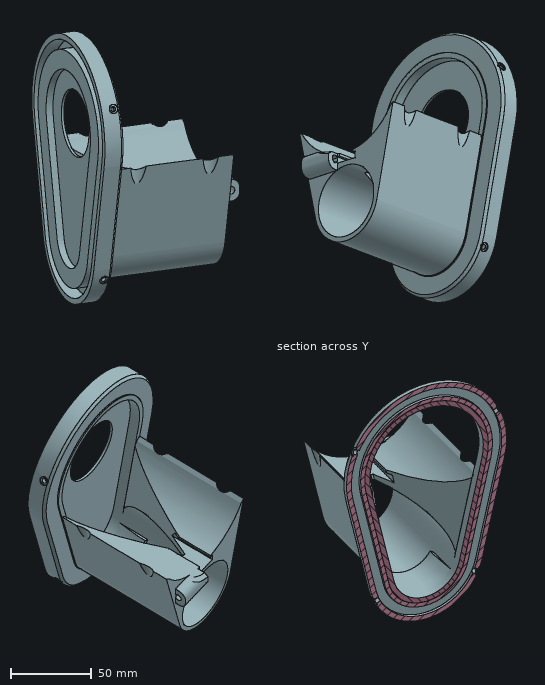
import cadquery as cq
import math


UPPER_RADIUS = 57.1
LOWER_RADIUS = 40.5
TOTAL_HEIGHT = 173.7
CENTRE_DISTANCE = TOTAL_HEIGHT - UPPER_RADIUS - LOWER_RADIUS
LOWER_Z = -CENTRE_DISTANCE
FLANK_ANGLE = math.asin((UPPER_RADIUS - LOWER_RADIUS) / CENTRE_DISTANCE)
FLANK_SLOPE = math.tan(FLANK_ANGLE)

FLANGE_THICKNESS = 13.0
FLANGE_CHAMFER = 1.7
GROOVE_OUTER_INSET = 3.8
GROOVE_INNER_INSET = 10.0
GROOVE_DEPTH = 10.0
OPENING_INSET = 22.5
SEAT_DEPTH = 4.7

SCREW_DIAMETER = 3.1
SCREW_HEAD_DIAMETER = 5.7
SCREW_HEAD_DEPTH = 0.9
SCREW_Y = 8.3
UPPER_SCREW_ANGLE = 25.0
LOWER_SCREW_ANGLE = -24.0

SCOOP_INSET = 13.7
BASE_INSET = 13.4
BASE_FLOOR_BACK = 6.6
SCOOP_BASE_BACK = 13.9
SCOOP_BACK = 95.4
SCOOP_RIM_Z = -20.3
SCOOP_RIM_X = (UPPER_RADIUS - SCOOP_INSET) / math.cos(FLANK_ANGLE) + SCOOP_RIM_Z * FLANK_SLOPE
PIPE_HOLE_DIAMETER = 43.0
TROUGH_RADIUS = 43.6
RIM_BEVEL_WIDTH = 2.8
RIM_BEVEL_DROP = 2.5

LUG_LEFT = 7.5
LUG_RIGHT = 30.7
LUG_BACK = 103.3
LUG_CENTRE_Z = -46.9
LUG_HEIGHT = 14.2
LUG_ROUNDING = 5.5
LUG_HOLE_DIAMETER = 4.9
LUG_HOLE_INSET = 5.9
LUG_CHAMFER = 2.0

SLOT_MOUTH_WIDTH = 11.1
SLOT_WIDTH = 2 * LUG_LEFT
SLOT_LIP_Z = -45.0
SLOT_FLOOR_Z = -49.3

BORE_DIAMETER = 47.0
BORE_RADIUS = BORE_DIAMETER / 2
LINER_RADIUS = 20.5
LINER_BACK = 35.5
LINER_RAMP_BACK = 30.5
LINER_END_ANGLE = 32.0

MOUTH_HALF_WIDTH = 24.0
MOUTH_TAPER = 0.45
MOUTH_TIP_WIDTH = 1.4

NOTCH_RADIUS = 6.8
NOTCH_DEPTH = 2.6
NOTCH_YS = (30.4, 79.5)


def teardrop(inset, front, back):
    """Teardrop prism between two Y positions, its outline moved inward by the inset."""
    upper = UPPER_RADIUS - inset
    lower = LOWER_RADIUS - inset
    across = math.cos(FLANK_ANGLE)
    along = math.sin(FLANK_ANGLE)
    outline = (
        cq.Workplane("XZ", origin=(0, front, 0))
        .moveTo(-upper * across, -upper * along)
        .threePointArc((0, upper), (upper * across, -upper * along))
        .lineTo(lower * across, LOWER_Z - lower * along)
        .threePointArc((0, LOWER_Z - lower), (-lower * across, LOWER_Z - lower * along))
        .close()
    )
    return outline.extrude(front - back)


def y_cylinder(radius, z, front, back):
    """Cylinder along Y, centred on X = 0."""
    return cq.Workplane("XZ", origin=(0, front, z)).circle(radius).extrude(front - back)


def radial_cylinder(diameter, centre_z, angle, start, end):
    """Cylinder in the screw plane that points away from a teardrop centre."""
    direction = cq.Vector(math.cos(math.radians(angle)), 0, math.sin(math.radians(angle)))
    base = cq.Vector(0, SCREW_Y, centre_z) + direction * start
    return cq.Workplane(cq.Solid.makeCylinder(diameter / 2, end - start, base, direction))


def screw_hole(centre_z, rim_radius, angle):
    """Counterbored hole through the flange rim into the groove."""
    hole = radial_cylinder(SCREW_DIAMETER, centre_z, angle, rim_radius - GROOVE_INNER_INSET, rim_radius)
    head = radial_cylinder(
        SCREW_HEAD_DIAMETER, centre_z, angle, rim_radius - SCREW_HEAD_DEPTH, rim_radius + SCREW_HEAD_DEPTH
    )
    return hole.union(head)


def make_flange():
    """Teardrop ring with a front groove and a rear seat for the scoop."""
    flange = teardrop(0, 0, FLANGE_THICKNESS).faces(">Y").chamfer(FLANGE_CHAMFER)
    groove = teardrop(GROOVE_OUTER_INSET, 0, GROOVE_DEPTH).cut(teardrop(GROOVE_INNER_INSET, 0, GROOVE_DEPTH))
    flange = flange.cut(groove)
    flange = flange.cut(teardrop(OPENING_INSET, 0, FLANGE_THICKNESS))
    flange = flange.cut(teardrop(BASE_INSET, SEAT_DEPTH, FLANGE_THICKNESS))
    for angle in (UPPER_SCREW_ANGLE, 180 - UPPER_SCREW_ANGLE):
        flange = flange.cut(screw_hole(0, UPPER_RADIUS, angle))
    for angle in (LOWER_SCREW_ANGLE, 180 - LOWER_SCREW_ANGLE):
        flange = flange.cut(screw_hole(LOWER_Z, LOWER_RADIUS, angle))
    return flange


def make_slot():
    """T-slot along the floor of the trough, open at the back."""

    def channel(width, bottom, top):
        return (
            cq.Workplane("XY", origin=(0, (SCOOP_BASE_BACK + SCOOP_BACK) / 2, bottom))
            .rect(width, SCOOP_BACK - SCOOP_BASE_BACK)
            .extrude(top - bottom)
        )

    wide = channel(SLOT_WIDTH, SLOT_FLOOR_Z, SLOT_LIP_Z)
    return wide.union(channel(SLOT_MOUTH_WIDTH, SLOT_FLOOR_Z, SCOOP_RIM_Z))


def make_rim_bevels():
    """Wedge whose two lower flanks bevel the inner edges of the scoop walls."""
    bevel_x = SCOOP_RIM_X - RIM_BEVEL_WIDTH
    bevel_z = SCOOP_RIM_Z - RIM_BEVEL_DROP
    return (
        cq.Workplane("XZ", origin=(0, SCOOP_BASE_BACK, 0))
        .polyline(
            [(-SCOOP_RIM_X, SCOOP_RIM_Z), (-bevel_x, bevel_z), (bevel_x, bevel_z), (SCOOP_RIM_X, SCOOP_RIM_Z)]
        )
        .close()
        .extrude(SCOOP_BASE_BACK - SCOOP_BACK)
    )


def make_mouth():
    """Wedge with its wide side on the base plate; it grows with height as the flanks do."""

    def section(half_width):
        tip_y = SCOOP_BASE_BACK + (half_width - MOUTH_TIP_WIDTH / 2) / MOUTH_TAPER
        return [
            (-half_width, SCOOP_BASE_BACK),
            (half_width, SCOOP_BASE_BACK),
            (MOUTH_TIP_WIDTH / 2, tip_y),
            (-MOUTH_TIP_WIDTH / 2, tip_y),
        ]

    return (
        cq.Workplane("XY", origin=(0, 0, LOWER_Z))
        .polyline(section(MOUTH_HALF_WIDTH))
        .close()
        .workplane(offset=CENTRE_DISTANCE)
        .polyline(section(MOUTH_HALF_WIDTH + CENTRE_DISTANCE * FLANK_SLOPE))
        .close()
        .loft(ruled=True)
    )


def make_liner():
    """Segment on the bottom of the bore; its inner face flares out to the bore at the base plate."""
    ring = (
        cq.Workplane("XY")
        .polyline(
            [
                (BORE_RADIUS, SCOOP_BASE_BACK),
                (LINER_RADIUS, LINER_RAMP_BACK),
                (LINER_RADIUS, LINER_BACK),
                (BORE_RADIUS, LINER_BACK),
            ]
        )
        .close()
        .revolve(360, (0, 0, 0), (0, 1, 0))
        .translate((0, 0, LOWER_Z))
    )
    end_x = BORE_DIAMETER * math.cos(math.radians(LINER_END_ANGLE))
    end_z = -BORE_DIAMETER * math.sin(math.radians(LINER_END_ANGLE))
    sector = (
        cq.Workplane("XZ", origin=(0, SCOOP_BASE_BACK, LOWER_Z))
        .polyline([(0, 0), (end_x, end_z), (0, -2 * BORE_DIAMETER), (-end_x, end_z)])
        .close()
        .extrude(SCOOP_BASE_BACK - LINER_BACK)
    )
    return ring.intersect(sector)


def make_lug():
    """Rounded lug with a cross hole; the trough runs on over its left end with a chamfered edge."""
    width = LUG_RIGHT - LUG_LEFT
    length = LUG_BACK - SCOOP_BACK
    lug = (
        cq.Workplane("XY")
        .box(width, length, LUG_HEIGHT, centered=(False, False, True))
        .translate((LUG_LEFT, SCOOP_BACK, LUG_CENTRE_Z))
        .edges("|X and >Y")
        .fillet(LUG_ROUNDING)
    )
    lug = lug.cut(y_cylinder(TROUGH_RADIUS, 0, SCOOP_BACK, LUG_BACK))
    trough_edges = cq.selectors.BoxSelector(
        (LUG_LEFT + LUG_CHAMFER / 10, SCOOP_BACK + LUG_CHAMFER / 10, LUG_CENTRE_Z + LUG_CHAMFER / 2),
        (LUG_RIGHT - LUG_ROUNDING, LUG_BACK - LUG_CHAMFER / 10, 0),
    )
    top_edge_limit = math.sqrt(TROUGH_RADIUS**2 - (LUG_CENTRE_Z + LUG_HEIGHT / 2) ** 2)
    lug = lug.edges(trough_edges).edges(
        cq.selectors.BoxSelector(
            (LUG_LEFT, SCOOP_BACK, LUG_CENTRE_Z),
            (top_edge_limit, LUG_BACK, 0),
        )
    ).chamfer(LUG_CHAMFER)
    hole = (
        cq.Workplane("YZ", origin=(LUG_LEFT, LUG_BACK - LUG_HOLE_INSET, LUG_CENTRE_Z))
        .circle(LUG_HOLE_DIAMETER / 2)
        .extrude(width)
    )
    return lug.cut(hole)


def notch(side, y):
    """Upright cylinder that scallops the top edge of one scoop wall."""
    axis_x = side * (SCOOP_RIM_X - NOTCH_DEPTH + NOTCH_RADIUS)
    return cq.Workplane("XY", origin=(axis_x, y, LOWER_Z)).circle(NOTCH_RADIUS).extrude(CENTRE_DISTANCE)


def make_scoop():
    """Base plate and the teardrop-shaped trough behind it."""
    body = teardrop(SCOOP_INSET, SCOOP_BASE_BACK, SCOOP_BACK)
    above_rim = (
        cq.Workplane("XY", origin=(0, SCOOP_BASE_BACK, SCOOP_RIM_Z))
        .rect(2 * UPPER_RADIUS, 2 * SCOOP_BACK)
        .extrude(TOTAL_HEIGHT)
    )
    body = body.cut(above_rim)
    body = body.cut(make_rim_bevels())
    body = body.cut(y_cylinder(TROUGH_RADIUS, 0, SCOOP_BASE_BACK, SCOOP_BACK))
    body = body.cut(make_slot())
    body = body.cut(y_cylinder(BORE_RADIUS, LOWER_Z, SCOOP_BASE_BACK, SCOOP_BACK))
    body = body.cut(make_mouth())
    for side in (-1, 1):
        for y in NOTCH_YS:
            body = body.cut(notch(side, y))

    base = teardrop(BASE_INSET, SEAT_DEPTH, SCOOP_BASE_BACK)
    base = base.cut(y_cylinder(PIPE_HOLE_DIAMETER / 2, 0, SEAT_DEPTH, SCOOP_BASE_BACK))
    base = base.cut(teardrop(LOWER_RADIUS - BORE_RADIUS, BASE_FLOOR_BACK, SCOOP_BASE_BACK))
    return body.union(base).union(make_liner()).union(make_lug())


flange = make_flange()
scoop = make_scoop()
result = cq.Compound.makeCompound([flange.val(), scoop.val()])